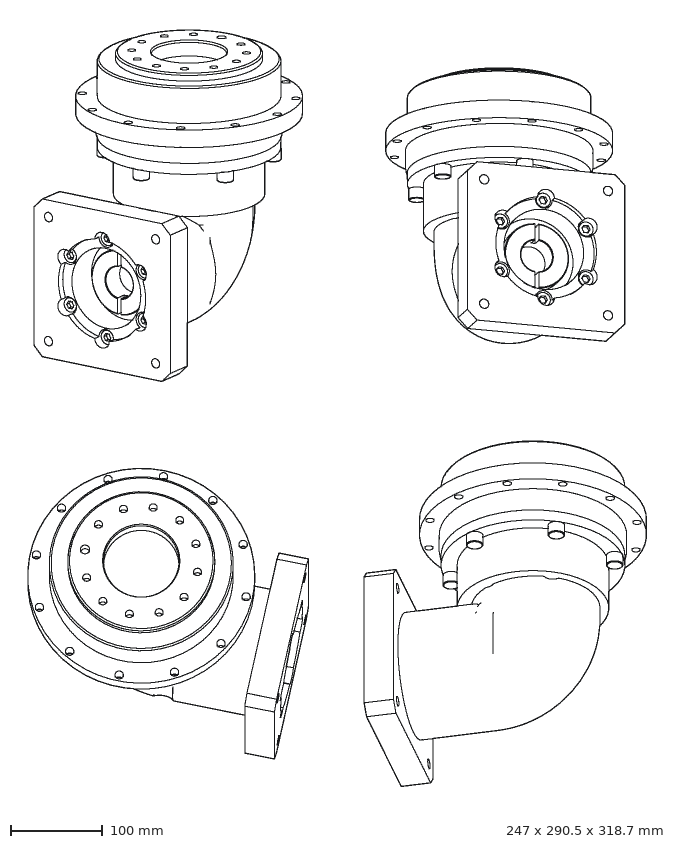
import cadquery as cq
import math


PLATE_SIZE = 180.0
PLATE_THICKNESS = 33.0
PLATE_CORNER_CHAMFER = 11.2
PLATE_FACE_Y = -167.0
PLATE_BACK_Y = PLATE_FACE_Y + PLATE_THICKNESS

TOTAL_HEIGHT = 318.7
TOP_Z = TOTAL_HEIGHT - PLATE_SIZE / 2
HUB_HEIGHT = 8.5
HOUSING_LENGTH = 42.0
FLANGE_THICKNESS = 20.0
PILOT_LENGTH = 18.5
TAPER_STEP = 3.5
COVER_LENGTH = 12.5
NECK_LENGTH = 53.5
HOUSING_TOP_Z = TOP_Z - HUB_HEIGHT
FLANGE_TOP_Z = HOUSING_TOP_Z - HOUSING_LENGTH
FLANGE_BOTTOM_Z = FLANGE_TOP_Z - FLANGE_THICKNESS
PILOT_BOTTOM_Z = FLANGE_BOTTOM_Z - PILOT_LENGTH
TAPER_BREAK_Z = PILOT_BOTTOM_Z - TAPER_STEP
TAPER_BOTTOM_Z = TAPER_BREAK_Z - TAPER_STEP
HOUSING_BOTTOM_Z = TAPER_BOTTOM_Z - COVER_LENGTH
NECK_BOTTOM_Z = HOUSING_BOTTOM_Z - NECK_LENGTH

HUB_RADIUS = 80.0
HOUSING_RADIUS = 100.0
FLANGE_RADIUS = 123.5
PILOT_RADIUS = 102.0
TAPER_BREAK_RADIUS = 101.5
NECK_RADIUS = 82.5
RIM_CHAMFER = 2.0

HOLE_COUNT = 12
FIRST_HOLE_ANGLE = 90.0
FLANGE_HOLE_CIRCLE = 116.5
FLANGE_HOLE_DIAMETER = 9.0
HUB_HOLE_CIRCLE = 62.5
HUB_HOLE_DIAMETER = 8.5
HUB_HOLE_DEPTH = 15.0
DRILL_POINT_ANGLE = 118.0
DOWEL_DIAMETER = 10.0
DOWEL_DEPTH = 12.0
HUB_RECESS_RADIUS = 41.0
HUB_RECESS_DEPTH = 18.0
HUB_RECESS_LEAD_IN = 1.0
HUB_RECESS_LEAD_IN_DEPTH = 2.5

BOLT_COUNT = 6
BOLT_START_ANGLE = 30.0
BOLT_CIRCLE = 91.5
BOLT_HEAD_DIAMETER = 18.0
BOLT_HEAD_HEIGHT = 12.5
BOLT_HEAD_CHAMFER = 0.8

TUBE_RADIUS = 70.0
BEND_RADIUS = 52.0
DROP_TUBE_Y = 3.0
PIVOT_Y = DROP_TUBE_Y - BEND_RADIUS
PIVOT_Z = BEND_RADIUS
CHANNEL_CIRCLE = 77.2
CHANNEL_RADIUS = 10.3
CHANNEL_ANGLES = (30, 150, 210, 330)
CHANNEL_EDGE_ROUND = 2.5
EDGE_TOLERANCE = 0.001

MOUNT_HOLE_SPACING = 141.4
MOUNT_HOLE_DIAMETER = 10.5
RECESS_RADIUS = 57.5
RECESS_DEPTH = 8.2
BORE_RADIUS = 45.5
BORE_DEPTH = 46.0
COLLAR_RADIUS = 36.5
COLLAR_FACE_DEPTH = PLATE_THICKNESS
SHAFT_BORE_RADIUS = 18.0
SHAFT_BORE_DEPTH = 60.0
COLLAR_CHAMFER = 0.8
CLAMP_SLOT_WIDTH = 4.7
SCREW_COUNT = 6
FIRST_SCREW_ANGLE = 90.0
SCREW_CIRCLE = 56.4
SCREW_POCKET_DIAMETER = 19.0
SCREW_POCKET_DEPTH = 20.0
SCREW_HEAD_DIAMETER = 16.0
SCREW_FACE_DEPTH = 10.0
SOCKET_SIDES = 6
SOCKET_ACROSS_FLATS = 8.0
SOCKET_DEPTH = 5.0


def ring_points(radius, count, start_angle=0.0):
    """Points evenly spaced on a circle about the origin."""
    angles = [math.radians(start_angle + 360.0 * i / count) for i in range(count)]
    return [(radius * math.cos(a), radius * math.sin(a)) for a in angles]


def input_plane(depth):
    """Plane at a depth behind the plate face; sketch axes are +X and +Z, extrusion runs toward -Y."""
    return cq.Workplane("XZ", origin=(0, PLATE_FACE_Y + depth, 0))


def output_body():
    """Turned output side, from the hub down to the neck."""
    outline = [
        (0, TOP_Z),
        (HUB_RADIUS - RIM_CHAMFER, TOP_Z),
        (HUB_RADIUS, TOP_Z - RIM_CHAMFER),
        (HUB_RADIUS, HOUSING_TOP_Z),
        (HOUSING_RADIUS - RIM_CHAMFER, HOUSING_TOP_Z),
        (HOUSING_RADIUS, HOUSING_TOP_Z - RIM_CHAMFER),
        (HOUSING_RADIUS, FLANGE_TOP_Z),
        (FLANGE_RADIUS, FLANGE_TOP_Z),
        (FLANGE_RADIUS, FLANGE_BOTTOM_Z),
        (PILOT_RADIUS, FLANGE_BOTTOM_Z),
        (PILOT_RADIUS, PILOT_BOTTOM_Z),
        (TAPER_BREAK_RADIUS, TAPER_BREAK_Z),
        (HOUSING_RADIUS, TAPER_BOTTOM_Z),
        (HOUSING_RADIUS, HOUSING_BOTTOM_Z),
        (NECK_RADIUS, HOUSING_BOTTOM_Z),
        (NECK_RADIUS, NECK_BOTTOM_Z),
        (0, NECK_BOTTOM_Z),
    ]
    return cq.Workplane("XZ").polyline(outline).close().revolve(360, (0, 0), (0, 1))


def bolt_heads():
    """Ring of bolt heads hanging below the housing."""
    return (
        cq.Workplane("XY", origin=(0, 0, HOUSING_BOTTOM_Z))
        .pushPoints(ring_points(BOLT_CIRCLE, BOLT_COUNT, BOLT_START_ANGLE))
        .circle(BOLT_HEAD_DIAMETER / 2)
        .extrude(-BOLT_HEAD_HEIGHT)
        .faces("<Z")
        .chamfer(BOLT_HEAD_CHAMFER)
    )


def channel_axes():
    """Positions of the vertical channel axes, which lie beside the elbow."""
    angles = [math.radians(angle) for angle in CHANNEL_ANGLES]
    return [(CHANNEL_CIRCLE * math.cos(a), CHANNEL_CIRCLE * math.sin(a)) for a in angles]


def is_channel_rim(edge):
    """True for an edge where a channel wall meets the outside of the elbow below the neck."""
    middle = edge.positionAt(0.5)
    on_wall = any(
        abs(math.hypot(middle.x - x, middle.y - y) - CHANNEL_RADIUS) < EDGE_TOLERANCE
        for x, y in channel_axes()
    )
    return on_wall and middle.z < NECK_BOTTOM_Z - EDGE_TOLERANCE


def elbow():
    """Round tube turning from the output axis to the input axis, with bolt channels down its sides."""
    drop_tube = (
        cq.Workplane("XY", origin=(0, DROP_TUBE_Y, PIVOT_Z))
        .circle(TUBE_RADIUS)
        .extrude(NECK_BOTTOM_Z - PIVOT_Z)
    )
    input_tube = input_plane(PLATE_THICKNESS).circle(TUBE_RADIUS).extrude(PLATE_BACK_Y - PIVOT_Y)
    half_chord = math.sqrt(TUBE_RADIUS**2 - BEND_RADIUS**2)
    bend = (
        cq.Workplane("XY", origin=(0, PIVOT_Y, PIVOT_Z))
        .moveTo(-half_chord, 0)
        .threePointArc((0, BEND_RADIUS + TUBE_RADIUS), (half_chord, 0))
        .close()
        .revolve(90, (0, 0), (-1, 0))
    )
    body = drop_tube.union(input_tube).union(bend)
    channels = (
        cq.Workplane("XY", origin=(0, 0, NECK_BOTTOM_Z))
        .pushPoints(channel_axes())
        .circle(CHANNEL_RADIUS)
        .extrude(-2 * TUBE_RADIUS)
    )
    return body.cut(channels).edges().filter(is_channel_rim).fillet(CHANNEL_EDGE_ROUND)


def input_plate():
    """Square motor plate with chamfered corners and through mounting holes."""
    return (
        input_plane(PLATE_THICKNESS)
        .rect(PLATE_SIZE, PLATE_SIZE)
        .extrude(PLATE_THICKNESS)
        .edges("|Y")
        .chamfer(PLATE_CORNER_CHAMFER)
        .faces("<Y")
        .workplane(origin=(0, PLATE_FACE_Y, 0))
        .rect(MOUNT_HOLE_SPACING, MOUNT_HOLE_SPACING, forConstruction=True)
        .vertices()
        .hole(MOUNT_HOLE_DIAMETER)
    )


def cut_output_holes(body):
    """Cut the hub recess, the tapped holes, the dowel hole and the flange holes."""
    recess = (
        cq.Workplane("XY", origin=(0, 0, TOP_Z))
        .circle(HUB_RECESS_RADIUS)
        .extrude(-HUB_RECESS_DEPTH)
    )
    recess_mouth = cq.Workplane(
        obj=cq.Solid.makeCone(
            HUB_RECESS_RADIUS,
            HUB_RECESS_RADIUS + HUB_RECESS_LEAD_IN,
            HUB_RECESS_LEAD_IN_DEPTH,
            cq.Vector(0, 0, TOP_Z - HUB_RECESS_LEAD_IN_DEPTH),
        )
    )
    body = body.cut(recess).cut(recess_mouth)

    hub_points = ring_points(HUB_HOLE_CIRCLE, HOLE_COUNT, FIRST_HOLE_ANGLE)
    dowel_point, tapped_points = hub_points[0], hub_points[1:]
    radius = HUB_HOLE_DIAMETER / 2
    point_length = radius / math.tan(math.radians(DRILL_POINT_ANGLE / 2))
    drill = (
        cq.Workplane("XZ")
        .polyline([(0, 0), (radius, 0), (radius, -HUB_HOLE_DEPTH), (0, -HUB_HOLE_DEPTH - point_length)])
        .close()
        .revolve(360, (0, 0), (0, 1))
    )
    for x, y in tapped_points:
        body = body.cut(drill.translate((x, y, TOP_Z)))

    dowel = (
        cq.Workplane("XY", origin=(*dowel_point, TOP_Z))
        .circle(DOWEL_DIAMETER / 2)
        .extrude(-DOWEL_DEPTH)
    )
    flange_holes = (
        cq.Workplane("XY", origin=(0, 0, FLANGE_TOP_Z))
        .pushPoints(ring_points(FLANGE_HOLE_CIRCLE, HOLE_COUNT))
        .circle(FLANGE_HOLE_DIAMETER / 2)
        .extrude(-FLANGE_THICKNESS)
    )
    return body.cut(dowel).cut(flange_holes)


def clamp_collar():
    """Slotted clamping collar standing at the bottom of the input bore."""
    length = BORE_DEPTH - COLLAR_FACE_DEPTH
    collar = (
        input_plane(BORE_DEPTH)
        .circle(COLLAR_RADIUS)
        .extrude(length)
        .faces("<Y")
        .chamfer(COLLAR_CHAMFER)
    )
    slot = input_plane(BORE_DEPTH).rect(CLAMP_SLOT_WIDTH, 2 * COLLAR_RADIUS).extrude(length)
    return collar.cut(slot)


def shaft_bore():
    """Cutter for the motor shaft bore, with a chamfered mouth."""
    bore = (
        input_plane(SHAFT_BORE_DEPTH)
        .circle(SHAFT_BORE_RADIUS)
        .extrude(SHAFT_BORE_DEPTH - COLLAR_FACE_DEPTH)
    )
    mouth = cq.Solid.makeCone(
        SHAFT_BORE_RADIUS + COLLAR_CHAMFER,
        SHAFT_BORE_RADIUS,
        COLLAR_CHAMFER,
        cq.Vector(0, PLATE_FACE_Y + COLLAR_FACE_DEPTH, 0),
        cq.Vector(0, 1, 0),
    )
    return bore.union(cq.Workplane(obj=mouth))


def cut_input_side(body):
    """Cut the recess and bore, add the clamp collar, and sink the ring of socket screws."""
    recess = input_plane(RECESS_DEPTH).circle(RECESS_RADIUS).extrude(RECESS_DEPTH)
    bore = input_plane(BORE_DEPTH).circle(BORE_RADIUS).extrude(BORE_DEPTH)

    screw_points = ring_points(SCREW_CIRCLE, SCREW_COUNT, FIRST_SCREW_ANGLE)
    pockets = (
        input_plane(SCREW_POCKET_DEPTH)
        .pushPoints(screw_points)
        .circle(SCREW_POCKET_DIAMETER / 2)
        .extrude(SCREW_POCKET_DEPTH)
    )
    socket_across_corners = SOCKET_ACROSS_FLATS / math.cos(math.pi / SOCKET_SIDES)
    sockets = (
        input_plane(SCREW_FACE_DEPTH + SOCKET_DEPTH)
        .pushPoints(screw_points)
        .polygon(SOCKET_SIDES, socket_across_corners)
        .extrude(SOCKET_DEPTH)
    )
    heads = (
        input_plane(SCREW_POCKET_DEPTH)
        .pushPoints(screw_points)
        .circle(SCREW_HEAD_DIAMETER / 2)
        .extrude(SCREW_POCKET_DEPTH - SCREW_FACE_DEPTH)
        .cut(sockets)
    )
    body = body.cut(recess).cut(bore).cut(pockets)
    return body.union(heads).union(clamp_collar()).cut(shaft_bore())


housing = output_body().union(bolt_heads()).union(elbow()).union(input_plate())
result = cut_input_side(cut_output_holes(housing))